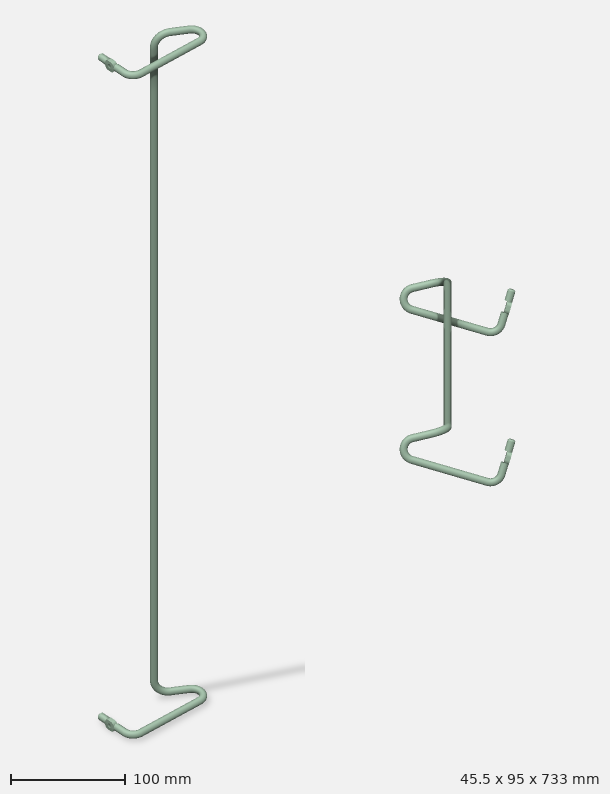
import cadquery as cq
import math

height = 733.0
width = 45.5
depth = 95.0

rod_diameter = 7.0
rod_radius = rod_diameter / 2
tip_chamfer = 1.1
arm_bend_inner_radius = 6.45
arm_bend_radius = arm_bend_inner_radius + rod_radius
upright_bend_radius = 15.0
hook_angle = 60.0
hook_length = 31.5

eyelet_length = 11.0
eyelet_height = 10.0
eyelet_thickness = 4.5
eyelet_corner_radius = 4.0
eyelet_hole_diameter = 4.5
eyelet_offset = 16.0

arm_z = height / 2 - eyelet_height / 2
tip_x = -width / 2
eyelet_x = tip_x + eyelet_offset
leg_x = width / 2 - rod_radius
outer_y = -depth / 2
foot_y = outer_y + rod_radius
hook_top_y = depth / 2 - rod_radius

bend_x = leg_x - arm_bend_radius
foot_bend_y = foot_y + arm_bend_radius
hook_bend_y = hook_top_y - arm_bend_radius

hook_dir_x = -math.cos(math.radians(hook_angle))
hook_dir_y = -math.sin(math.radians(hook_angle))
hook_start_x = bend_x + arm_bend_radius * hook_dir_y
hook_start_y = hook_bend_y - arm_bend_radius * hook_dir_x
upright_x = hook_start_x + hook_length * hook_dir_x
upright_y = hook_start_y + hook_length * hook_dir_y


def arm_point(x, y):
    """Point in the plane of the upper arm."""
    return cq.Vector(x, y, arm_z)


def upright_bend_point(inset, drop):
    """Point in the vertical plane of the hook leg, inset from the upright and below the arm."""
    return cq.Vector(upright_x - inset * hook_dir_x, upright_y - inset * hook_dir_y, arm_z - drop)


def upper_half_rod():
    """Round rod from the free end of the upper arm down to the middle of the upright."""
    foot_diagonal = arm_bend_radius * math.sqrt(0.5)
    upright_bend_inset = upright_bend_radius * (1 - math.sqrt(0.5))

    tip = arm_point(tip_x, foot_y)
    foot_end = arm_point(bend_x, foot_y)
    foot_bend_middle = arm_point(bend_x + foot_diagonal, foot_bend_y - foot_diagonal)
    leg_start = arm_point(leg_x, foot_bend_y)
    leg_end = arm_point(leg_x, hook_bend_y)
    hook_bend_top = arm_point(bend_x, hook_top_y)
    hook_start = arm_point(hook_start_x, hook_start_y)
    hook_end = upright_bend_point(upright_bend_radius, 0)
    upright_bend_middle = upright_bend_point(upright_bend_inset, upright_bend_inset)
    upright_top = upright_bend_point(0, upright_bend_radius)
    upright_middle = upright_bend_point(0, arm_z)

    path = cq.Wire.assembleEdges([
        cq.Edge.makeLine(tip, foot_end),
        cq.Edge.makeThreePointArc(foot_end, foot_bend_middle, leg_start),
        cq.Edge.makeLine(leg_start, leg_end),
        cq.Edge.makeThreePointArc(leg_end, hook_bend_top, hook_start),
        cq.Edge.makeLine(hook_start, hook_end),
        cq.Edge.makeThreePointArc(hook_end, upright_bend_middle, upright_top),
        cq.Edge.makeLine(upright_top, upright_middle),
    ])
    rod = cq.Workplane("YZ", origin=tip.toTuple()).circle(rod_radius).sweep(path)
    return rod.faces("<X").chamfer(tip_chamfer)


def eyelet_block(y_start, thickness):
    """Block centred on the eyelet, reaching from y_start toward +Y."""
    return (
        cq.Workplane("XZ", origin=(eyelet_x, y_start, arm_z))
        .rect(eyelet_length, eyelet_height)
        .extrude(-thickness)
    )


def add_eyelet(rod):
    """Flatten a stretch of the rod into a thin rounded plate with a through hole."""
    relief = eyelet_block(outer_y + eyelet_thickness, rod_diameter)
    plate = eyelet_block(outer_y, eyelet_thickness).edges("|Y").fillet(eyelet_corner_radius)
    hole = (
        cq.Workplane("XZ", origin=(eyelet_x, outer_y, arm_z))
        .circle(eyelet_hole_diameter / 2)
        .extrude(-eyelet_thickness)
    )
    return rod.cut(relief).union(plate).cut(hole)


upper_half = add_eyelet(upper_half_rod())
result = upper_half.union(upper_half.mirror("XY")).clean()